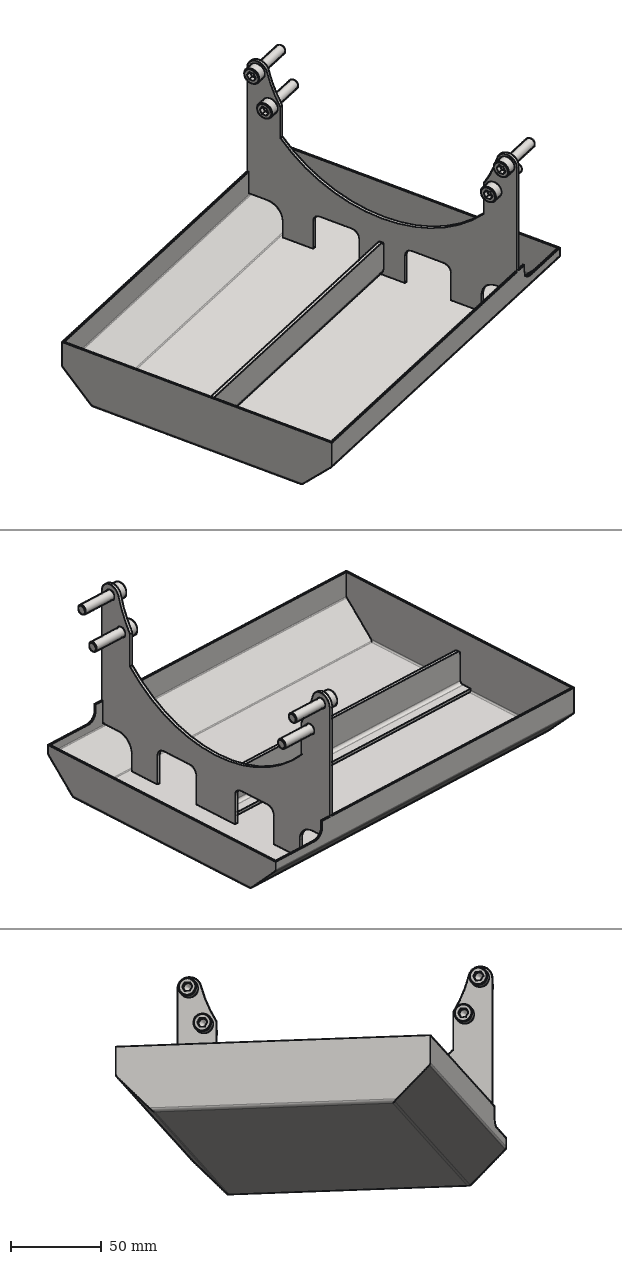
import cadquery as cq
import math

WIDTH = 176.0
LENGTH = 234.0
TRAY_HEIGHT = 37.0
REAR_HEIGHT = 26.5
SKIRT = 20.5
TRAY_SHEET = 1.0
BEND_RADIUS = 2 * TRAY_SHEET
STEP_Y = 80.5
STEP_RADIUS = 6.0

PLATE_SHEET = 2.0
PLATE_FRONT_Y = 72.8
SADDLE_Z = 129.5
SADDLE_RADIUS = 90.3
ARM_INNER_X = 66.2
BOLT_CIRCLE_RADIUS = 84.2
BOLT_ANGLES = (15, 30)
WINDOW_INNER_X = 15.0
WINDOW_WIDTH = 30.0
WINDOW_TOP = 24.5
WINDOW_RADIUS = 5.0
FLANK_GAP_X = 64.8
FLANK_GAP_TOP = 22.5
FLANK_GAP_RADIUS = 10.0

DIVIDER_SHEET = 2.0
DIVIDER_TOP = 24.0
DIVIDER_FLANGE = 10.0
DIVIDER_INNER_RADIUS = 2.0
DIVIDER_CORNER_RADIUS = 2.0

SHANK_DIAMETER = 6.0
CLEARANCE_DIAMETER = 6.5
HEAD_DIAMETER = 10.0
HEAD_LENGTH = 6.0
SHANK_LENGTH = 24.5
EDGE_CHAMFER = 0.5
SOCKET_FLATS = 5.0
SOCKET_DEPTH = 3.0
SOCKET_TIP = 1.5

HALF_WIDTH = WIDTH / 2
HALF_LENGTH = LENGTH / 2
PLATE_BACK_Y = PLATE_FRONT_Y + PLATE_SHEET


def along_y(start_y):
    """Sketch plane facing +Y at start_y, with local X = -X and local Y = Z."""
    return cq.Workplane(cq.Plane((0, start_y, 0), xDir=(-1, 0, 0), normal=(0, 1, 0)))


def trough(inset):
    """Tray-shaped solid, inset by a sheet thickness, with all its bends rounded."""
    side = HALF_WIDTH - inset
    end = HALF_LENGTH - inset
    bend = BEND_RADIUS - inset
    corner_shift = inset * math.tan(math.radians(22.5))
    floor_half = HALF_WIDTH - SKIRT - corner_shift
    flank_top = SKIRT + corner_shift
    points = [
        (-side, TRAY_HEIGHT),
        (-side, flank_top),
        (-floor_half, inset),
        (floor_half, inset),
        (side, flank_top),
        (side, TRAY_HEIGHT),
    ]
    cross_section = along_y(-end).polyline(points).close().extrude(2 * end)
    cross_section = cross_section.edges("|Y").edges("not >Z").fillet(bend)
    side_profile = (
        cq.Workplane("XY")
        .box(2 * side, 2 * end, TRAY_HEIGHT - inset, centered=(True, True, False))
        .translate((0, 0, inset))
        .edges("|X and <Z")
        .fillet(bend)
    )
    return cross_section.intersect(side_profile)


def make_tray():
    outer = trough(0)
    inner = trough(TRAY_SHEET)
    rear_step = (
        cq.Workplane("XY")
        .box(2 * WIDTH, LENGTH, LENGTH, centered=(True, False, False))
        .translate((0, STEP_Y, REAR_HEIGHT))
        .edges("|X and <Y and <Z")
        .fillet(STEP_RADIUS)
    )
    return outer.cut(inner).cut(rear_step)


def bolt_positions():
    for angle in BOLT_ANGLES:
        x = BOLT_CIRCLE_RADIUS * math.cos(math.radians(angle))
        z = SADDLE_Z - BOLT_CIRCLE_RADIUS * math.sin(math.radians(angle))
        yield (x, z)
        yield (-x, z)


def plate_block(x_min, x_max, z_min, z_max):
    """Block through the plate thickness."""
    return (
        cq.Workplane("XY")
        .box(x_max - x_min, PLATE_SHEET, z_max - z_min, centered=False)
        .translate((x_min, PLATE_FRONT_Y, z_min))
    )


def circle_point(radius, angle):
    """Point on a circle about the saddle centre, angle in radians below horizontal."""
    return (radius * math.cos(angle), SADDLE_Z - radius * math.sin(angle))


def make_half_plate():
    """The +X half of the bracket plate, without bolt holes."""
    tip_angle = math.radians(BOLT_ANGLES[0])
    tip_x, tip_z = circle_point(BOLT_CIRCLE_RADIUS, tip_angle)
    tip_radius = HALF_WIDTH - tip_x
    arm_radius = BOLT_CIRCLE_RADIUS - tip_radius
    arm_start = circle_point(arm_radius, tip_angle)
    arm_end_angle = math.acos(ARM_INNER_X / arm_radius)
    saddle_angle = math.acos(ARM_INNER_X / SADDLE_RADIUS)
    outline = (
        cq.Workplane("XZ", origin=(0, PLATE_BACK_Y, 0))
        .moveTo(0, TRAY_SHEET)
        .lineTo(HALF_WIDTH, TRAY_SHEET)
        .lineTo(HALF_WIDTH, tip_z)
        .threePointArc((tip_x, tip_z + tip_radius), arm_start)
        .threePointArc(
            circle_point(arm_radius, (tip_angle + arm_end_angle) / 2),
            circle_point(arm_radius, arm_end_angle),
        )
        .lineTo(*circle_point(SADDLE_RADIUS, saddle_angle))
        .threePointArc(
            circle_point(SADDLE_RADIUS, (saddle_angle + math.pi / 2) / 2),
            (0, SADDLE_Z - SADDLE_RADIUS),
        )
        .close()
        .extrude(PLATE_SHEET)
    )
    window = plate_block(WINDOW_INNER_X, WINDOW_INNER_X + WINDOW_WIDTH, TRAY_SHEET, WINDOW_TOP)
    window = window.edges("|Y and >Z").fillet(WINDOW_RADIUS)
    flank_gap = plate_block(FLANK_GAP_X, HALF_WIDTH, TRAY_SHEET, FLANK_GAP_TOP)
    flank_gap = flank_gap.edges("|Y and >Z and <X").fillet(FLANK_GAP_RADIUS)
    return outline.cut(window).cut(flank_gap)


def make_plate():
    half = make_half_plate()
    holes = (
        along_y(PLATE_FRONT_Y)
        .pushPoints(list(bolt_positions()))
        .circle(CLEARANCE_DIAMETER / 2)
        .extrude(PLATE_SHEET)
    )
    return half.union(half.mirror("YZ")).cut(holes)


def make_divider():
    start_y = TRAY_SHEET - HALF_LENGTH
    wall_x = DIVIDER_SHEET / 2
    flange_x = wall_x - DIVIDER_FLANGE
    flange_top = TRAY_SHEET + DIVIDER_SHEET
    points = [
        (flange_x, TRAY_SHEET),
        (wall_x, TRAY_SHEET),
        (wall_x, DIVIDER_TOP),
        (-wall_x, DIVIDER_TOP),
        (-wall_x, flange_top),
        (flange_x, flange_top),
    ]
    divider = (
        cq.Workplane("XZ", origin=(0, PLATE_FRONT_Y, 0))
        .polyline(points)
        .close()
        .extrude(PLATE_FRONT_Y - start_y)
    )
    inner_bend = cq.selectors.NearestToPointSelector((-wall_x, 0, flange_top))
    outer_bend = cq.selectors.NearestToPointSelector((wall_x, 0, TRAY_SHEET))
    divider = divider.edges("|Y").edges(inner_bend).fillet(DIVIDER_INNER_RADIUS)
    divider = divider.edges("|Y").edges(outer_bend).fillet(DIVIDER_INNER_RADIUS + DIVIDER_SHEET)
    return divider.faces(">Z").edges("|X").fillet(DIVIDER_CORNER_RADIUS)


def make_bolt():
    """Bolt along +Y with the underside of its head at the origin."""
    head = along_y(-HEAD_LENGTH).circle(HEAD_DIAMETER / 2).extrude(HEAD_LENGTH)
    head = head.faces("<Y").chamfer(EDGE_CHAMFER)
    shank = along_y(0).circle(SHANK_DIAMETER / 2).extrude(SHANK_LENGTH)
    shank = shank.faces(">Y").chamfer(EDGE_CHAMFER)
    across_corners = SOCKET_FLATS / math.cos(math.radians(30))
    socket = along_y(-HEAD_LENGTH).polygon(6, across_corners).extrude(SOCKET_DEPTH)
    socket_tip = cq.Workplane(
        cq.Solid.makeCone(
            SOCKET_FLATS / 2,
            0,
            SOCKET_TIP,
            pnt=cq.Vector(0, SOCKET_DEPTH - HEAD_LENGTH, 0),
            dir=cq.Vector(0, 1, 0),
        )
    )
    return head.union(shank).cut(socket).cut(socket_tip)


result = make_tray().union(make_plate()).union(make_divider())
bolt = make_bolt()
for bolt_x, bolt_z in bolt_positions():
    result = result.union(bolt.translate((bolt_x, PLATE_FRONT_Y, bolt_z)))